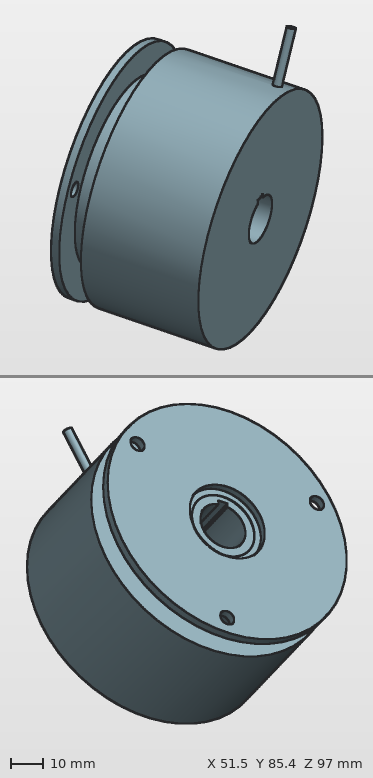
import cadquery as cq
import math

outer_diameter = 85.4
neck_diameter = 64.0
flange_thickness = 2.9
body_start = 10.5
total_length = 51.5

bore_diameter = 16.0
key_width = 3.2
key_top = 9.2
recess_diameter = 26.8
recess_depth = 2.5
hub_diameter = 22.3
hub_recess_depth = 2.7

hole_diameter = 4.95
hole_circle_radius = 37.0
hole_count = 3
first_hole_angle = -90.0

cable_diameter = 3.0
cable_x = 46.6
cable_lean = 30.0
total_height = 97.0
cable_embedding = 3.9
cable_root_radius = outer_diameter / 2 - cable_embedding
lean = math.radians(cable_lean)
tip_height = total_height - outer_diameter / 2
cable_tip_radius = (tip_height - cable_diameter / 2 * math.sin(lean)) / math.cos(lean)


def disc(diameter, start, end, y=0, z=0):
    """Cylinder parallel to X between two X positions."""
    return cq.Workplane("YZ", origin=(start, y, z)).circle(diameter / 2).extrude(end - start)


def make_body():
    flange = disc(outer_diameter, 0, flange_thickness)
    neck = disc(neck_diameter, flange_thickness, body_start)
    housing = disc(outer_diameter, body_start, total_length)
    return flange.union(neck).union(housing)


def make_hub_recess():
    recess = disc(recess_diameter, 0, recess_depth)
    return recess.union(disc(hub_diameter, 0, hub_recess_depth))


def make_keyed_bore():
    bore = disc(bore_diameter, 0, total_length)
    keyway = cq.Workplane("XY").box(total_length, key_width, key_top, centered=(False, True, False))
    return bore.union(keyway)


def make_flange_holes():
    holes = cq.Workplane("YZ")
    for index in range(hole_count):
        angle = math.radians(first_hole_angle + index * 360 / hole_count)
        y = hole_circle_radius * math.cos(angle)
        z = hole_circle_radius * math.sin(angle)
        holes = holes.add(disc(hole_diameter, 0, flange_thickness, y, z))
    return holes.combine()


def make_cable():
    direction = cq.Vector(0, math.sin(lean), math.cos(lean))
    root = cq.Vector(cable_x, 0, 0) + direction * cable_root_radius
    length = cable_tip_radius - cable_root_radius
    return cq.Workplane(cq.Solid.makeCylinder(cable_diameter / 2, length, root, direction))


result = make_body().cut(make_hub_recess()).cut(make_keyed_bore()).cut(make_flange_holes())
result = result.union(make_cable())